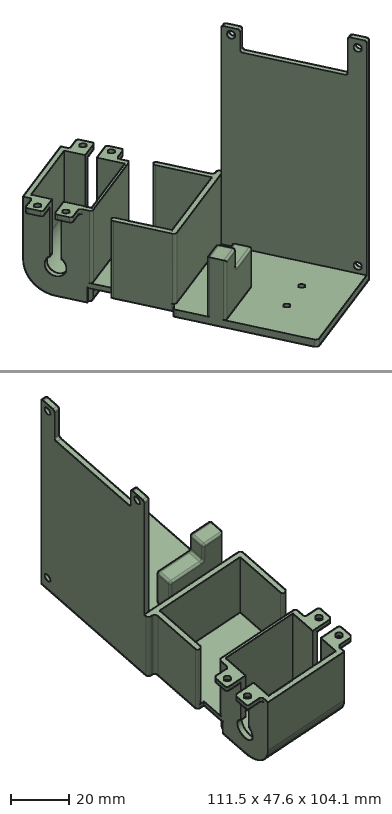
import cadquery as cq
import math


wall = 2.1
small_radius = 1.0
corner_radius = 1.3
web_radius = 2.0
wall_top = 31.4

arc_inset = 1 - math.sqrt(0.5)

bucket_length = 25.5
bucket_half_width = 17.4
bucket_bottom = -6.0
bucket_end_wall = 1.0
bucket_radius = 12.0
keel_end = 23.7

keyhole_diameter = 8.0
keyhole_slot_width = 4.2

tab_reach = 47.6 / 2
tab_width = 6.6
tab_thickness = 2.1
tab_hole_offset_x = 5.2
tab_hole_y = 20.9
tab_hole_diameter = 2.6

box_start = 33.5
box_end = 57.6
box_half_width = 20.4
box_corner_radius = 1.2

plate_end = 111.5
plate_half_width = 23.5
plate_thickness = 3.0
plate_hole_x = 93.3
plate_hole_y = 6.8
plate_hole_diameter = 2.5

panel_top = 104.1 + bucket_bottom
short_tower_top = 91.7
notch_bottom = 82.5
notch_start = 64.7
notch_end = 104.5
panel_thickness = 2.1
panel_hole_diameter = 3.0
panel_holes = [(61.3, 88.8), (108.2, 94.4), (108.2, 6.0)]

rib_start = 70.5
rib_width = 7.0
rib_end_y = 0.7
rib_step_y = -14.4
rib_top = 27.2
rib_low_top = 19.0
rib_edge_radius = 0.9


def block(x0, x1, y0, y1, z0, z1):
    """Axis-aligned block between the given limits."""
    return cq.Workplane("XY").box(x1 - x0, y1 - y0, z1 - z0, centered=False).translate((x0, y0, z0))


def side_outline(half_width):
    """XZ sketch plane whose extrusion of twice half_width is centred on Y = 0."""
    return cq.Workplane("XZ", origin=(0, half_width, 0))


def at(x, y, z):
    """Selector for the edge whose centre lies nearest a point."""
    return cq.selectors.NearestToPointSelector((x, y, z))


def make_bucket():
    """Outer body of the bucket; it is shorter below the floor than above it."""
    front = block(0, keel_end, -bucket_half_width, bucket_half_width, bucket_bottom, wall_top)
    front = front.edges("|Y and <X and <Z").fillet(bucket_radius)
    back = block(bucket_radius, bucket_length, -bucket_half_width, bucket_half_width, wall, wall_top)
    back = back.edges("|Z and >X").fillet(small_radius)
    return front.union(back)


def make_bucket_cavity():
    """Space inside the bucket, rounded concentrically with the outside."""
    inner_half_width = bucket_half_width - wall
    cavity = block(
        wall, bucket_length - bucket_end_wall,
        -inner_half_width, inner_half_width,
        bucket_bottom + wall, wall_top,
    )
    return cavity.edges("|Y and <X and <Z").fillet(bucket_radius - wall)


def make_keyhole():
    """Round hole on the axis of the bucket curve, with a slot up to the rim."""
    axis_z = bucket_bottom + bucket_radius
    hole = (
        side_outline(tab_reach)
        .center(bucket_radius, axis_z)
        .circle(keyhole_diameter / 2)
        .extrude(2 * tab_reach)
    )
    half_slot = keyhole_slot_width / 2
    slot = block(
        bucket_radius - half_slot, bucket_radius + half_slot,
        -tab_reach, tab_reach, axis_z, wall_top,
    )
    return hole.union(slot)


def make_tab(direction, side):
    """One rim tab; direction is its way along X from the slot, side its way along Y."""
    slot_side = bucket_radius + direction * keyhole_slot_width / 2
    far_side = slot_side + direction * tab_width
    flare = far_side + direction * small_radius
    bend = small_radius * arc_inset
    inner_y = side * (bucket_half_width - wall)
    wall_y = side * bucket_half_width
    tip_y = side * tab_reach
    tab = (
        cq.Workplane("XY", origin=(0, 0, wall_top - tab_thickness))
        .moveTo(slot_side, inner_y)
        .lineTo(slot_side, tip_y)
        .lineTo(far_side, tip_y)
        .lineTo(far_side, wall_y + side * small_radius)
        .threePointArc((far_side + direction * bend, wall_y + side * bend), (flare, wall_y))
        .lineTo(flare, inner_y)
        .close()
        .extrude(tab_thickness)
    )
    tip_edges = "|Z and >Y" if side > 0 else "|Z and <Y"
    tab = tab.edges(tip_edges).fillet(small_radius)
    hole = (
        cq.Workplane("XY", origin=(0, 0, wall_top - tab_thickness))
        .center(bucket_radius + direction * tab_hole_offset_x, side * tab_hole_y)
        .circle(tab_hole_diameter / 2)
        .extrude(tab_thickness)
    )
    return tab.cut(hole)


def make_web():
    """Web under the floor: rounded at its foot, hollow where it meets the floor."""
    half_width = bucket_half_width - small_radius
    foot_radius = bucket_length - keel_end
    foot_z = bucket_bottom + foot_radius
    return (
        side_outline(half_width)
        .moveTo(keel_end, 0)
        .lineTo(bucket_length + web_radius, 0)
        .threePointArc(
            (bucket_length + web_radius * arc_inset, -web_radius * arc_inset),
            (bucket_length, -web_radius),
        )
        .lineTo(bucket_length, foot_z)
        .threePointArc(
            (bucket_length - foot_radius * arc_inset, bucket_bottom + foot_radius * arc_inset),
            (keel_end, bucket_bottom),
        )
        .close()
        .extrude(2 * half_width)
    )


def make_box():
    """Side walls and end wall; the end wall runs on to the upright panel."""
    end_wall_start = box_end - wall
    box = block(box_start, box_end, -box_half_width, box_half_width, 0, wall_top)
    box = box.union(block(end_wall_start, box_end, 0, plate_half_width, 0, wall_top))
    mid_z = wall_top / 2
    for x, y in ((end_wall_start, box_half_width), (end_wall_start, plate_half_width)):
        box = box.edges("|Z").edges(at(x, y, mid_z)).fillet(corner_radius)
    tip_radius = wall / 2
    box = box.edges("|Z and <X").fillet(tip_radius)
    box = box.edges("|Z").edges(at(box_end, -box_half_width, mid_z)).fillet(box_corner_radius)

    inner = box_half_width - wall
    mouth = inner + tip_radius
    arc_x = box_start + tip_radius * arc_inset
    arc_y = inner + tip_radius * arc_inset
    cavity = (
        cq.Workplane("XY", origin=(0, 0, wall))
        .moveTo(box_start, -mouth)
        .threePointArc((arc_x, -arc_y), (box_start + tip_radius, -inner))
        .lineTo(end_wall_start, -inner)
        .lineTo(end_wall_start, inner)
        .lineTo(box_start + tip_radius, inner)
        .threePointArc((arc_x, arc_y), (box_start, mouth))
        .close()
        .extrude(wall_top - wall)
    )
    return box.cut(cavity)


def make_base_plate():
    """Plate under the panel, joined to the box side by a hollow fillet."""
    plate = block(box_end, plate_end, -plate_half_width, plate_half_width, 0, plate_thickness)
    strip_start = box_end - wall - corner_radius
    strip_inner = wall - box_half_width
    plate = plate.union(block(strip_start, box_end, -box_half_width, strip_inner, 0, plate_thickness))
    mid_z = plate_thickness / 2
    plate = plate.edges("|Z and <Y").fillet(corner_radius)
    plate = plate.edges("|Z").edges(at(box_end, -box_half_width, mid_z)).fillet(corner_radius)
    return (
        plate.faces(">Z").workplane(origin=(0, 0, 0))
        .pushPoints([(plate_hole_x, plate_hole_y), (plate_hole_x, -plate_hole_y)])
        .hole(plate_hole_diameter)
    )


def make_panel():
    """Upright panel with a notch between two towers and three screw holes."""
    back = cq.Workplane("XZ", origin=(0, plate_half_width, 0))
    panel = (
        back
        .moveTo(box_end, 0)
        .lineTo(plate_end, 0)
        .lineTo(plate_end, panel_top)
        .lineTo(notch_end, panel_top)
        .lineTo(notch_end, notch_bottom)
        .lineTo(notch_start, notch_bottom)
        .lineTo(notch_start, short_tower_top)
        .lineTo(box_end, short_tower_top)
        .close()
        .extrude(panel_thickness)
    )
    upper_edges = cq.selectors.BoxSelector(
        (0, 0, notch_bottom - wall), (plate_end + wall, plate_half_width + wall, panel_top + wall),
    )
    panel = panel.edges("|Y").edges(upper_edges).fillet(small_radius)
    holes = back.pushPoints(panel_holes).circle(panel_hole_diameter / 2).extrude(panel_thickness)
    return panel.cut(holes)


def make_rib():
    """Rib with a tall block at the plate edge and a lower tail, edges rounded."""
    rib = (
        cq.Workplane("YZ", origin=(rib_start, 0, 0))
        .moveTo(-plate_half_width, plate_thickness)
        .lineTo(-plate_half_width, rib_top)
        .lineTo(rib_step_y, rib_top)
        .lineTo(rib_step_y, rib_low_top)
        .lineTo(rib_end_y, rib_low_top)
        .lineTo(rib_end_y, plate_thickness)
        .close()
        .extrude(rib_width)
    )
    mid_x = rib_start + rib_width / 2
    for y, z in ((rib_step_y, rib_top), (rib_step_y, rib_low_top), (rib_end_y, rib_low_top)):
        rib = rib.edges("|X").edges(at(mid_x, y, z)).fillet(small_radius)
    long_edges = rib.faces("<X or >X").edges("not <Z")
    return long_edges.fillet(rib_edge_radius)


floor = block(keel_end, box_end, -bucket_half_width, bucket_half_width, 0, wall)

tabs = [make_tab(direction, side) for direction in (-1, 1) for side in (-1, 1)]

result = make_bucket().union(make_web()).union(floor)
for piece in [make_box(), make_base_plate(), make_panel(), make_rib()] + tabs:
    result = result.union(piece)
result = result.cut(make_bucket_cavity()).cut(make_keyhole())